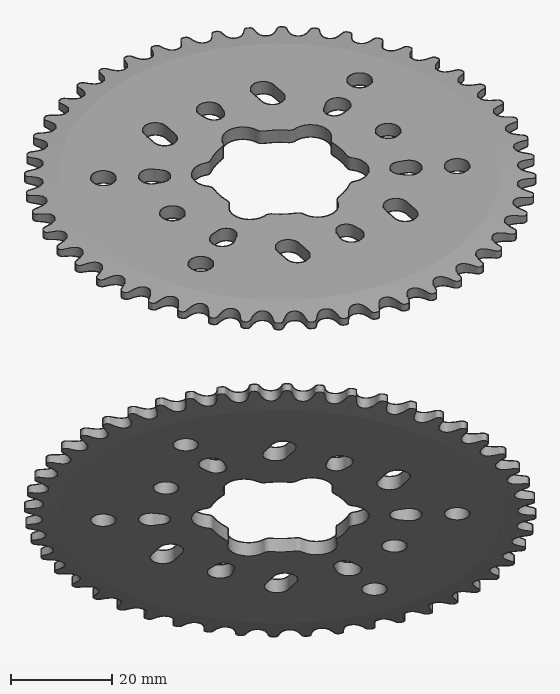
import cadquery as cq
import math

thickness = 3.0
overlap = 1.0

tooth_count = 48
tip_radius = 50.4
pitch_radius = 48.6
seat_radius = 1.7
seat_half_angle = math.radians(53.75)
flank_end = (48.8, 2.0)
shoulder = (49.7, 2.3)
tip_gap_half_width = 3.0

taper_start_radius = 43.5
tip_thickness = 1.6

bore_radius = 14.3
lobe_count = 6
lobe_centre_radius = 13.4
lobe_radius = 4.1
lobe_blend_radius = 1.5

hole_diameter = 5.0
bolt_circle_radius = 25.4
outer_bolt_circle_radius = 34.9
outer_bolt_angles = (60, 120, 240, 300)
short_slot_inner_x = 23.7
short_slot_inner_end_radius = 2.1
short_slot_angles = (0, 60, 120, 180, 240, 300)
long_slot_inner_x = 22.1
long_slot_y = bolt_circle_radius / 2


def tapered_blank():
    """Disc with a flat middle and a rim that thins evenly towards the tooth tips."""
    half = thickness / 2
    half_tip = tip_thickness / 2
    section = (
        cq.Workplane("XZ")
        .moveTo(0, -half)
        .lineTo(taper_start_radius, -half)
        .lineTo(tip_radius, -half_tip)
        .lineTo(tip_radius, half_tip)
        .lineTo(taper_start_radius, half)
        .lineTo(0, half)
        .close()
    )
    return section.revolve(360, (0, 0, 0), (0, 1, 0))


def through_tool(sketch):
    """Extrude a closed outline through the whole plate."""
    return sketch.extrude(thickness / 2 + overlap, both=True)


def tooth_gap():
    """Gap between two teeth, centred on +X: roller seat, hollow flanks, rounded tips."""
    root_radius = pitch_radius - seat_radius
    seat_middle = (
        pitch_radius - seat_radius * math.cos(seat_half_angle / 2),
        seat_radius * math.sin(seat_half_angle / 2),
    )
    seat_end = (
        pitch_radius - seat_radius * math.cos(seat_half_angle),
        seat_radius * math.sin(seat_half_angle),
    )
    tip_x = math.sqrt(tip_radius**2 - tip_gap_half_width**2)
    half_gap = through_tool(
        cq.Workplane("XY")
        .moveTo(root_radius, 0)
        .threePointArc(seat_middle, seat_end)
        .tangentArcPoint(flank_end, relative=False)
        .lineTo(*shoulder)
        .tangentArcPoint((tip_x, tip_gap_half_width), relative=False)
        .lineTo(tip_radius + overlap, tip_gap_half_width)
        .lineTo(tip_radius + overlap, 0)
        .close()
    )
    return half_gap.union(half_gap.mirror("XZ"))


def cut_teeth(disc):
    gap = tooth_gap()
    gaps = [
        gap.rotate((0, 0, 0), (0, 0, 1), i * 360 / tooth_count).val()
        for i in range(tooth_count)
    ]
    return disc.cut(cq.Workplane("XY").newObject([cq.Compound.makeCompound(gaps)]))


def lobed_bore():
    """Round opening with six lobes blended into it."""
    core = through_tool(cq.Workplane("XY").circle(bore_radius))
    lobes = through_tool(
        cq.Workplane("XY")
        .polarArray(lobe_centre_radius, 0, 360, lobe_count)
        .circle(lobe_radius)
    )
    return core.union(lobes).edges("|Z").fillet(lobe_blend_radius)


def short_slot():
    """Slot along X that narrows towards the centre, with straight sides tangent to both ends."""
    outer_r = hole_diameter / 2
    inner_r = short_slot_inner_end_radius
    taper_sine = (outer_r - inner_r) / (bolt_circle_radius - short_slot_inner_x)
    taper_cosine = math.sqrt(1 - taper_sine**2)
    outer_x = bolt_circle_radius - outer_r * taper_sine
    outer_y = outer_r * taper_cosine
    inner_x = short_slot_inner_x - inner_r * taper_sine
    inner_y = inner_r * taper_cosine
    return through_tool(
        cq.Workplane("XY")
        .moveTo(inner_x, -inner_y)
        .lineTo(outer_x, -outer_y)
        .threePointArc((bolt_circle_radius + outer_r, 0), (outer_x, outer_y))
        .lineTo(inner_x, inner_y)
        .threePointArc((short_slot_inner_x - inner_r, 0), (inner_x, -inner_y))
        .close()
    )


def long_slot(y):
    """Slot along X on the +X side; its outer end is centred at X = bolt_circle_radius."""
    length = bolt_circle_radius - long_slot_inner_x + hole_diameter
    middle_x = (bolt_circle_radius + long_slot_inner_x) / 2
    return through_tool(cq.Workplane("XY").center(middle_x, y).slot2D(length, hole_diameter))


def mounting_holes():
    points = [(0, bolt_circle_radius), (0, -bolt_circle_radius)]
    for degrees in outer_bolt_angles:
        angle = math.radians(degrees)
        points.append(
            (outer_bolt_circle_radius * math.cos(angle), outer_bolt_circle_radius * math.sin(angle))
        )
    return through_tool(cq.Workplane("XY").pushPoints(points).circle(hole_diameter / 2))


result = cut_teeth(tapered_blank())
result = result.cut(lobed_bore())
result = result.cut(mounting_holes())

for degrees in short_slot_angles:
    result = result.cut(short_slot().rotate((0, 0, 0), (0, 0, 1), degrees))

for y in (long_slot_y, -long_slot_y):
    right_slot = long_slot(y)
    result = result.cut(right_slot).cut(right_slot.mirror("YZ"))